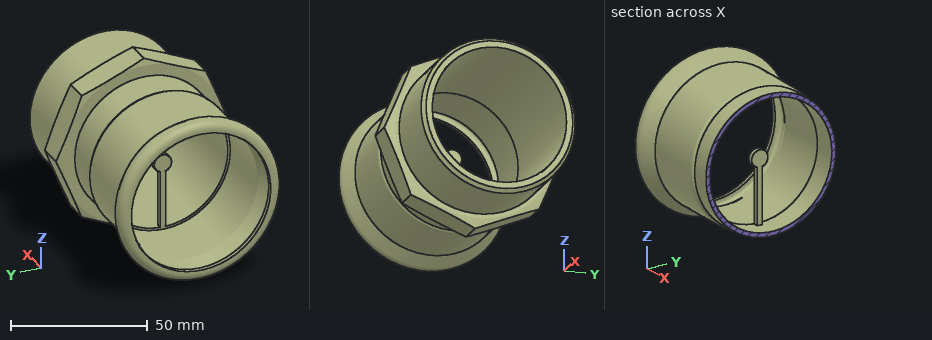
import cadquery as cq
import math

LENGTH = 89.0
SLEEVE_START = 10.3
SLEEVE_END = 36.8
SLEEVE_BORE_END = 34.5
COLLAR_START = 51.1
COLLAR_END = 62.8

SLEEVE_RADIUS = 28.8
NECK_RADIUS = 27.95
SPIGOT_RADIUS = 29.8
BORE_RADIUS = 26.0
LIP_RADIUS = 27.9
BEAD_RADIUS = 3.5
BEAD_CENTRE_RADIUS = 29.1
WALL = 1.9
SLEEVE_BORE_RADIUS = SLEEVE_RADIUS - WALL

SHOULDER_LENGTH = 1.6
GROOVE_BLEND = 1.3
GROOVE_END = SLEEVE_START - WALL / 4
END_CHAMFER = 1.4

COLLAR_SIDES = 8
COLLAR_TIP_DIAMETER = 70.4
COLLAR_TIP_RADIUS = COLLAR_TIP_DIAMETER / 2
COLLAR_FRONT_FACE_RADIUS = 32.5
COLLAR_FRONT_BEVEL = 0.6
COLLAR_BACK_FACE_RADIUS = 31.4
COLLAR_BACK_BEVEL = 1.1

DISC_RADIUS = BEAD_RADIUS
STEM_WIDTH = 2.2
DISC_THICKNESS = 2.2


def bead_point(radius, angle):
    """Point at an angle around the centre of the bead section."""
    return (
        BEAD_RADIUS + radius * math.cos(angle),
        BEAD_CENTRE_RADIUS + radius * math.sin(angle),
    )


def bead_tangent_angle(radius, x, r):
    """Bead angle whose tangent line runs to the point (x, r)."""
    dx = x - BEAD_RADIUS
    dr = r - BEAD_CENTRE_RADIUS
    return math.atan2(dr, dx) + math.acos(radius / math.hypot(dx, dr))


def revolve(profile):
    return profile.close().revolve(360, (0, 0, 0), (1, 0, 0))


def make_outer_body():
    """Solid body: rounded bead, cone, sleeve, neck and chamfered spigot."""
    angle = bead_tangent_angle(BEAD_RADIUS, SLEEVE_START, SLEEVE_RADIUS)
    profile = (
        cq.Workplane("XY")
        .lineTo(0, BEAD_CENTRE_RADIUS)
        .threePointArc(bead_point(BEAD_RADIUS, (math.pi + angle) / 2), bead_point(BEAD_RADIUS, angle))
        .lineTo(SLEEVE_START, SLEEVE_RADIUS)
        .lineTo(SLEEVE_END - SHOULDER_LENGTH, SLEEVE_RADIUS)
        .tangentArcPoint((SLEEVE_END, NECK_RADIUS), relative=False)
        .lineTo(COLLAR_START, NECK_RADIUS)
        .lineTo(COLLAR_END, SPIGOT_RADIUS)
        .lineTo(LENGTH - END_CHAMFER, SPIGOT_RADIUS)
        .lineTo(LENGTH, SPIGOT_RADIUS - END_CHAMFER)
        .lineTo(LENGTH, 0)
    )
    return revolve(profile)


def make_cavity():
    """Through bore with the wider sleeve bore and the seal groove inside the bead."""
    groove_radius = BEAD_RADIUS - WALL
    angle = bead_tangent_angle(groove_radius, GROOVE_END, SLEEVE_BORE_RADIUS)
    tangent_point = bead_point(groove_radius, angle)
    slope = math.atan2(SLEEVE_BORE_RADIUS - tangent_point[1], GROOVE_END - tangent_point[0])
    blend_length = GROOVE_BLEND * math.tan(-slope / 2)
    blend_start = (
        GROOVE_END - blend_length * math.cos(slope),
        SLEEVE_BORE_RADIUS - blend_length * math.sin(slope),
    )
    profile = (
        cq.Workplane("XY")
        .lineTo(0, LIP_RADIUS)
        .lineTo(WALL, LIP_RADIUS)
        .lineTo(WALL, BEAD_CENTRE_RADIUS)
        .threePointArc(bead_point(groove_radius, (math.pi + angle) / 2), tangent_point)
        .lineTo(*blend_start)
        .tangentArcPoint((GROOVE_END + blend_length, SLEEVE_BORE_RADIUS), relative=False)
        .lineTo(SLEEVE_BORE_END, SLEEVE_BORE_RADIUS)
        .lineTo(SLEEVE_BORE_END, BORE_RADIUS)
        .lineTo(LENGTH, BORE_RADIUS)
        .lineTo(LENGTH, 0)
    )
    return revolve(profile)


def make_collar():
    """Octagonal collar with its corners turned to a bevel on both faces."""
    octagon = (
        cq.Workplane("YZ", origin=(COLLAR_START, 0, 0))
        .polygon(COLLAR_SIDES, COLLAR_TIP_DIAMETER)
        .extrude(COLLAR_END - COLLAR_START)
    )
    bevel_envelope = revolve(
        cq.Workplane("XY")
        .moveTo(COLLAR_START, 0)
        .lineTo(COLLAR_START, COLLAR_FRONT_FACE_RADIUS)
        .lineTo(COLLAR_START + COLLAR_FRONT_BEVEL, COLLAR_TIP_RADIUS)
        .lineTo(COLLAR_END - COLLAR_BACK_BEVEL, COLLAR_TIP_RADIUS)
        .lineTo(COLLAR_END, COLLAR_BACK_FACE_RADIUS)
        .lineTo(COLLAR_END, 0)
    )
    return octagon.intersect(bevel_envelope)


def make_disc_and_stem():
    """Central disc carried by a straight stem that rises from the bottom of the bore."""
    stem_length = (BORE_RADIUS + NECK_RADIUS) / 2
    plane = cq.Workplane("YZ", origin=(SLEEVE_BORE_END, 0, 0))
    disc = plane.circle(DISC_RADIUS).extrude(DISC_THICKNESS)
    stem = plane.center(0, -stem_length / 2).rect(STEM_WIDTH, stem_length).extrude(DISC_THICKNESS)
    return disc.union(stem)


result = make_outer_body().union(make_collar()).cut(make_cavity()).union(make_disc_and_stem())